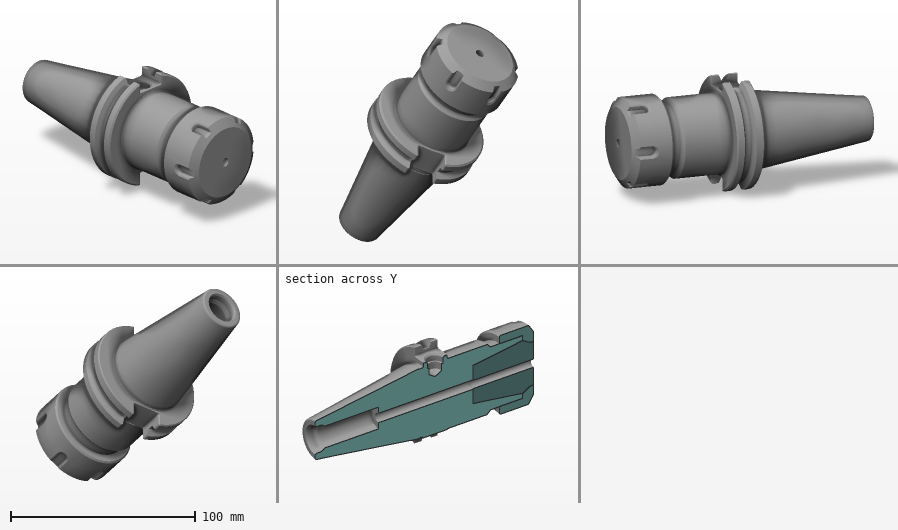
import cadquery as cq
import math

OVERALL_LENGTH = 144.5

GAUGE_DIAMETER = 44.5
TAPER_LENGTH = 68.3
TAPER_RATE = 7 / 24
TAPER_END_FILLET = 1.2
NECK_DIAMETER = 43.9
NECK_FILLET = 0.7

FLANGE_FRONT = 71.5
FLANGE_BACK = 87.3
FLANGE_DIAMETER = 63.5
FLANGE_FRONT_CHAMFER = 0.6
FLANGE_BACK_CHAMFER = 0.9
GROOVE_CENTER = 79.5
GROOVE_FLOOR_DIAMETER = 56.3
GROOVE_FLOOR_WIDTH = 3.6
GROOVE_TOP_WIDTH = 7.1

NOTCH_WIDTH = 16.2
TOP_NOTCH_FLOOR = 24.7
BOTTOM_NOTCH_FLOOR = 22.7
NOTCH_CORNER_RADIUS = 0.5
NOTCH_CHAMFER_WIDTH = 0.7
NOTCH_CHAMFER_DEPTH = 0.5

NOTCH_HOLE_MOUTH_DIAMETER = 12.1
NOTCH_HOLE_DIAMETER = 10.1
NOTCH_HOLE_DEPTH = 4.3
PILOT_DIAMETER = 8.0
PILOT_DEPTH = 8.7
DRILL_TIP_ANGLE = 118.0

BODY_DIAMETER = 44.5
BODY_END = 116.0
BODY_CHAMFER_LENGTH = 2.2
BODY_FILLET = 0.9
SPIGOT_DIAMETER = 40.0
SPIGOT_END = 137.2

BORE_MOUTH_DIAMETER = 17.8
BORE_MOUTH_CHAMFER = 1.2
COUNTERBORE_DIAMETER = 16.5
COUNTERBORE_DEPTH = 4.3
BORE_DIAMETER = 13.5
BORE_CONE_LENGTH = 2.2
BORE_DEPTH = 41.9
PASSAGE_DIAMETER = 5.6

NUT_BACK = 121.6
NUT_DIAMETER = 50.0
NUT_BACK_CHAMFER = 0.9
NUT_CONE_START = 141.1
NUT_FACE_DIAMETER = 40.0
NUT_OPENING_DIAMETER = 27.0

SLOT_COUNT = 6
SLOT_FLOOR_WIDTH = 4.3
SLOT_FLOOR_RADIUS = 22.1
SLOT_END_CENTER = 134.3
SLOT_WALL_SLOPE = 15.0
SLOT_CHAMFER_RADIUS = 24.3
SLOT_CHAMFER_SLOPE = 60.0

COLLET_LENGTH = 40.0
COLLET_MAX_DIAMETER = 33.0
COLLET_TAPER = 8.0
COLLET_NOSE_ANGLE = 30.0
COLLET_BORE_DIAMETER = 4.9

CUT_CLEARANCE = 1.5


def turned(points):
    """Solid of revolution about X from a closed outline of (x, radius) points."""
    return cq.Workplane("XY").polyline(points).close().revolve(360, (0, 0, 0), (1, 0, 0))


def shank():
    gauge_radius = GAUGE_DIAMETER / 2
    small_radius = gauge_radius - TAPER_LENGTH * TAPER_RATE / 2
    neck_radius = NECK_DIAMETER / 2
    outline = [
        (0, 0),
        (0, small_radius),
        (TAPER_LENGTH, gauge_radius),
        (TAPER_LENGTH, neck_radius),
        (FLANGE_FRONT, neck_radius),
        (FLANGE_FRONT, 0),
    ]
    return turned(outline).faces("<X").edges().fillet(TAPER_END_FILLET)


def flange():
    radius = FLANGE_DIAMETER / 2
    floor_radius = GROOVE_FLOOR_DIAMETER / 2
    outline = [
        (FLANGE_FRONT, 0),
        (FLANGE_FRONT, radius - FLANGE_FRONT_CHAMFER),
        (FLANGE_FRONT + FLANGE_FRONT_CHAMFER, radius),
        (GROOVE_CENTER - GROOVE_TOP_WIDTH / 2, radius),
        (GROOVE_CENTER - GROOVE_FLOOR_WIDTH / 2, floor_radius),
        (GROOVE_CENTER + GROOVE_FLOOR_WIDTH / 2, floor_radius),
        (GROOVE_CENTER + GROOVE_TOP_WIDTH / 2, radius),
        (FLANGE_BACK - FLANGE_BACK_CHAMFER, radius),
        (FLANGE_BACK, radius - FLANGE_BACK_CHAMFER),
        (FLANGE_BACK, 0),
    ]
    return turned(outline)


def body():
    body_radius = BODY_DIAMETER / 2
    spigot_radius = SPIGOT_DIAMETER / 2
    outline = [
        (FLANGE_BACK, 0),
        (FLANGE_BACK, body_radius),
        (BODY_END - BODY_CHAMFER_LENGTH, body_radius),
        (BODY_END, spigot_radius),
        (SPIGOT_END, spigot_radius),
        (SPIGOT_END, 0),
    ]
    return turned(outline)


def root_fillet(face_x, radius, size, direction):
    """Ring with a concave quarter-round, filling the corner between a shaft and a flange face."""
    end_x = face_x + direction * size
    bulge = size * (1 - math.sqrt(0.5))
    return (
        cq.Workplane("XY")
        .moveTo(face_x, radius - CUT_CLEARANCE)
        .lineTo(face_x, radius + size)
        .threePointArc((face_x + direction * bulge, radius + bulge), (end_x, radius))
        .lineTo(end_x, radius - CUT_CLEARANCE)
        .close()
        .revolve(360, (0, 0, 0), (1, 0, 0))
    )


def notch_cutter(floor):
    """Drive notch above the axis, with chamfers along its outer and end edges."""
    half_width = NOTCH_WIDTH / 2
    wide_half = half_width + NOTCH_CHAMFER_WIDTH
    top = FLANGE_DIAMETER / 2 + CUT_CLEARANCE
    length = FLANGE_BACK - FLANGE_FRONT

    channel = (
        cq.Workplane("XY", origin=(FLANGE_FRONT + length / 2, 0, floor))
        .box(length, NOTCH_WIDTH, top - floor, centered=(True, True, False))
        .faces("<Z")
        .edges("|X")
        .fillet(NOTCH_CORNER_RADIUS)
    )

    rim_height = math.sqrt((FLANGE_DIAMETER / 2) ** 2 - wide_half**2)
    chamfer_bottom = rim_height - NOTCH_CHAMFER_DEPTH
    outer_flare = (
        cq.Workplane("YZ", origin=(FLANGE_FRONT, 0, 0))
        .polyline(
            [
                (-half_width, chamfer_bottom),
                (half_width, chamfer_bottom),
                (wide_half, rim_height),
                (wide_half, top),
                (-wide_half, top),
                (-wide_half, rim_height),
            ]
        )
        .close()
        .extrude(length)
    )
    end_flares = (
        cq.Workplane("XY", origin=(0, 0, floor))
        .polyline(
            [
                (FLANGE_FRONT, -wide_half),
                (FLANGE_FRONT + NOTCH_CHAMFER_DEPTH, -half_width),
                (FLANGE_BACK - NOTCH_CHAMFER_DEPTH, -half_width),
                (FLANGE_BACK, -wide_half),
                (FLANGE_BACK, wide_half),
                (FLANGE_BACK - NOTCH_CHAMFER_DEPTH, half_width),
                (FLANGE_FRONT + NOTCH_CHAMFER_DEPTH, half_width),
                (FLANGE_FRONT, wide_half),
            ]
        )
        .close()
        .extrude(top - floor)
    )
    end_flares = end_flares.translate((0, 0, NOTCH_CORNER_RADIUS))
    return channel.union(outer_flare).union(end_flares)


def notch_hole_cutter():
    """Stepped hole with a countersunk mouth and a drilled tip, going down from the top notch floor."""
    mouth = NOTCH_HOLE_MOUTH_DIAMETER / 2
    hole = NOTCH_HOLE_DIAMETER / 2
    pilot = PILOT_DIAMETER / 2
    tip_length = pilot / math.tan(math.radians(DRILL_TIP_ANGLE / 2))
    outline = [
        (0, 0),
        (mouth, 0),
        (hole, hole - mouth),
        (hole, -NOTCH_HOLE_DEPTH),
        (pilot, -NOTCH_HOLE_DEPTH),
        (pilot, -PILOT_DEPTH),
        (0, -PILOT_DEPTH - tip_length),
    ]
    return (
        cq.Workplane("XZ")
        .polyline(outline)
        .close()
        .revolve(360, (0, 0, 0), (0, 1, 0))
        .translate((GROOVE_CENTER, 0, TOP_NOTCH_FLOOR))
    )


def bore_cutter():
    counterbore = COUNTERBORE_DIAMETER / 2
    bore = BORE_DIAMETER / 2
    passage = PASSAGE_DIAMETER / 2
    outline = [
        (0, 0),
        (0, BORE_MOUTH_DIAMETER / 2),
        (BORE_MOUTH_CHAMFER, counterbore),
        (COUNTERBORE_DEPTH, counterbore),
        (COUNTERBORE_DEPTH + BORE_CONE_LENGTH, bore),
        (BORE_DEPTH, bore),
        (BORE_DEPTH, passage),
        (SPIGOT_END, passage),
        (SPIGOT_END, 0),
    ]
    return turned(outline)


def collet_blank():
    """Collet without its bore: a long rear taper, a steep nose cone and a short plain nose."""
    max_radius = COLLET_MAX_DIAMETER / 2
    nose_radius = NUT_OPENING_DIAMETER / 2
    back = OVERALL_LENGTH - COLLET_LENGTH
    back_radius = max_radius - (SPIGOT_END - back) * math.tan(math.radians(COLLET_TAPER))
    nose_cone_length = (max_radius - nose_radius) / math.tan(math.radians(COLLET_NOSE_ANGLE))
    outline = [
        (back, 0),
        (back, back_radius),
        (SPIGOT_END, max_radius),
        (SPIGOT_END + nose_cone_length, nose_radius),
        (OVERALL_LENGTH, nose_radius),
        (OVERALL_LENGTH, 0),
    ]
    return turned(outline)


def make_holder():
    holder = shank().union(flange()).union(body())
    holder = holder.union(root_fillet(FLANGE_FRONT, NECK_DIAMETER / 2, NECK_FILLET, -1))
    holder = holder.union(root_fillet(FLANGE_BACK, BODY_DIAMETER / 2, BODY_FILLET, 1))
    bottom_notch = notch_cutter(BOTTOM_NOTCH_FLOOR).rotate((0, 0, 0), (1, 0, 0), 180)
    holder = holder.cut(notch_cutter(TOP_NOTCH_FLOOR)).cut(bottom_notch)
    return holder.cut(notch_hole_cutter()).cut(bore_cutter()).cut(collet_blank())


def slot_outline(half_width, height):
    """Slot outline at a given height above the axis: a round inner end, open past the nut face."""
    open_end = OVERALL_LENGTH + CUT_CLEARANCE
    return (
        cq.Workplane("XY", origin=(0, 0, height))
        .moveTo(open_end, -half_width)
        .lineTo(SLOT_END_CENTER, -half_width)
        .threePointArc((SLOT_END_CENTER - half_width, 0), (SLOT_END_CENTER, half_width))
        .lineTo(open_end, half_width)
        .close()
    )


def slot_cutter():
    """Spanner slot above the axis, with sloping walls and a chamfered rim."""
    floor_half = SLOT_FLOOR_WIDTH / 2
    wall_height = SLOT_CHAMFER_RADIUS - SLOT_FLOOR_RADIUS
    rim_half = floor_half + wall_height * math.tan(math.radians(SLOT_WALL_SLOPE))
    rim_height = NUT_DIAMETER / 2 + CUT_CLEARANCE - SLOT_CHAMFER_RADIUS
    channel = slot_outline(floor_half, SLOT_FLOOR_RADIUS).extrude(wall_height, taper=-SLOT_WALL_SLOPE)
    rim = slot_outline(rim_half, SLOT_CHAMFER_RADIUS).extrude(rim_height, taper=-SLOT_CHAMFER_SLOPE)
    return channel.union(rim)


def make_nut():
    radius = NUT_DIAMETER / 2
    outline = [
        (NUT_BACK, 0),
        (NUT_BACK, radius - NUT_BACK_CHAMFER),
        (NUT_BACK + NUT_BACK_CHAMFER, radius),
        (NUT_CONE_START, radius),
        (OVERALL_LENGTH, NUT_FACE_DIAMETER / 2),
        (OVERALL_LENGTH, 0),
    ]
    nut = turned(outline)
    for i in range(SLOT_COUNT):
        angle = 90 + i * 360 / SLOT_COUNT
        nut = nut.cut(slot_cutter().rotate((0, 0, 0), (1, 0, 0), angle))
    spigot_hole = turned(
        [
            (NUT_BACK, 0),
            (NUT_BACK, SPIGOT_DIAMETER / 2),
            (SPIGOT_END, SPIGOT_DIAMETER / 2),
            (SPIGOT_END, 0),
        ]
    )
    return nut.cut(spigot_hole).cut(collet_blank())


def make_collet():
    bore = (
        cq.Workplane("YZ", origin=(OVERALL_LENGTH - COLLET_LENGTH, 0, 0))
        .circle(COLLET_BORE_DIAMETER / 2)
        .extrude(COLLET_LENGTH)
    )
    return collet_blank().cut(bore)


holder = make_holder().solids()
nut = make_nut().solids()
collet = make_collet().solids()

result = cq.Compound.makeCompound([holder.val(), nut.val(), collet.val()])